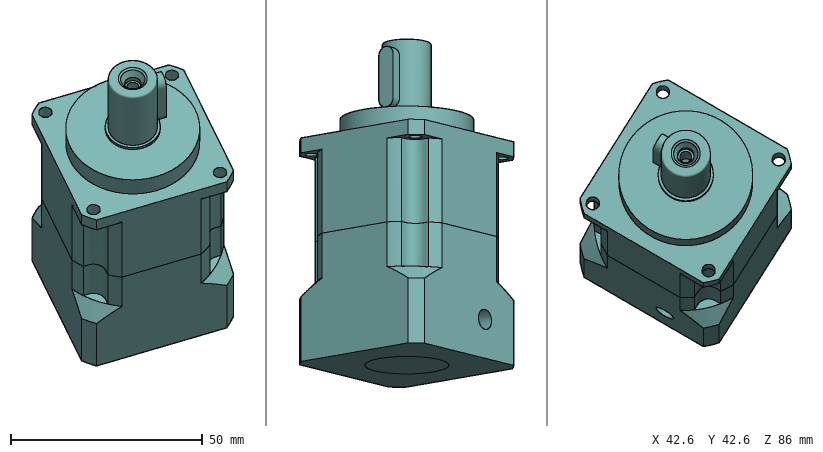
import cadquery as cq
import math

total_height = 86.0
body_width = 42.6
half_width = body_width / 2

corner_top = 17.4
relief_bottom = 21.4
split_level = 33.4
flange_bottom = 55.8
flange_top = 59.85
pilot_top = 65.6
collar_top = 66.4

corner_radius = 28.0
relief_radius = corner_radius - (relief_bottom - corner_top)
pilot_radius = 17.55

bolt_offset = 17.7
bolt_hole_radius = 1.7
groove_radius = 3.4

access_radius = 2.7
access_y = -6.45
access_z = 10.4
hub_radius = 11.0
hub_height = 2 * access_z

shaft_radius = 6.45
shaft_edge_radius = 0.5
collar_radius = 7.2

centre_mouth_radius = 3.8
centre_cone_radius = 3.2
centre_bore_radius = 2.15
centre_core_radius = 1.55
centre_mouth_depth = 0.35
centre_bore_depth = 3.4
centre_core_depth = 10.3
centre_cone_half_angle = 30
drill_tip_half_angle = 60

key_width = 5.0
key_length = 16.25
key_top = 83.9
key_outer_y = 8.5


def square_block(bottom, top):
    """Square prism with the full housing width."""
    return cq.Workplane("XY").workplane(offset=bottom).rect(body_width, body_width).extrude(top - bottom)


def cylinder(radius, bottom, top):
    """Round body on the shaft axis."""
    return cq.Workplane("XY").workplane(offset=bottom).circle(radius).extrude(top - bottom)


def turned_envelope():
    """Turned shape that rounds the housing corners and forms the relief between base and flange."""
    return (
        cq.Workplane("XZ")
        .moveTo(0, 0)
        .lineTo(corner_radius, 0)
        .lineTo(corner_radius, corner_top)
        .lineTo(relief_radius, relief_bottom)
        .lineTo(relief_radius, flange_bottom)
        .lineTo(corner_radius, flange_bottom)
        .lineTo(corner_radius, flange_top)
        .lineTo(0, flange_top)
        .close()
        .revolve(360, (0, 0), (0, 1))
    )


def bolt_groove():
    """Cutter for one corner groove, open to the outside and rounded around the bolt axis."""
    inner_edge = bolt_offset - groove_radius
    side = half_width - inner_edge
    return (
        cq.Workplane("XY")
        .box(side, side, flange_bottom - relief_bottom, centered=False)
        .edges("|Z and <X and <Y")
        .fillet(groove_radius)
        .translate((inner_edge, inner_edge, relief_bottom))
    )


def housing_section(bottom, top):
    """Part of the grooved housing column between two levels."""
    section = square_block(bottom, top).intersect(turned_envelope())
    for corner in range(4):
        section = section.cut(bolt_groove().rotate((0, 0, 0), (0, 0, 1), 90 * corner))
    return section


def make_lower_housing():
    bore = cylinder(hub_radius, 0, hub_height)
    access_hole = (
        cq.Workplane("YZ", origin=(-half_width, access_y, access_z))
        .circle(access_radius)
        .extrude(half_width)
    )
    access_hole = access_hole.cut(bore)
    return housing_section(0, split_level).cut(bore).cut(access_hole)


def make_upper_housing():
    pilot = cylinder(pilot_radius, flange_top, pilot_top)
    bolt_holes = (
        cq.Workplane("XY")
        .workplane(offset=flange_bottom)
        .rect(2 * bolt_offset, 2 * bolt_offset, forConstruction=True)
        .vertices()
        .circle(bolt_hole_radius)
        .extrude(flange_top - flange_bottom)
    )
    return housing_section(split_level, flange_top).union(pilot).cut(bolt_holes)


def make_hub():
    return cylinder(hub_radius, 0, hub_height)


def make_key():
    key_bottom = key_top - key_length
    return (
        cq.Workplane("XZ", origin=(0, key_outer_y, 0))
        .center(0, (key_top + key_bottom) / 2)
        .slot2D(key_length, key_width, 90)
        .extrude(key_width)
    )


def centre_hole():
    """Cutter for the centre hole: mouth chamfer, 60 degree cone, bore, core hole and drill tip."""
    cone_depth = (centre_cone_radius - centre_bore_radius) / math.tan(math.radians(centre_cone_half_angle))
    tip_depth = centre_core_radius / math.tan(math.radians(drill_tip_half_angle))
    cone_start = total_height - centre_mouth_depth
    core_bottom = total_height - centre_core_depth
    bore_bottom = total_height - centre_bore_depth
    return (
        cq.Workplane("XZ")
        .moveTo(0, total_height)
        .lineTo(centre_mouth_radius, total_height)
        .lineTo(centre_cone_radius, cone_start)
        .lineTo(centre_bore_radius, cone_start - cone_depth)
        .lineTo(centre_bore_radius, bore_bottom)
        .lineTo(centre_core_radius, bore_bottom)
        .lineTo(centre_core_radius, core_bottom)
        .lineTo(0, core_bottom - tip_depth)
        .close()
        .revolve(360, (0, 0), (0, 1))
    )


def make_shaft():
    collar = cylinder(collar_radius, pilot_top, collar_top)
    journal = (
        cylinder(shaft_radius, pilot_top, total_height)
        .faces(">Z")
        .edges()
        .fillet(shaft_edge_radius)
    )
    return journal.union(collar).cut(centre_hole()).cut(make_key())


lower_housing = make_lower_housing()
upper_housing = make_upper_housing()
hub = make_hub()
shaft = make_shaft()
key = make_key()

result = cq.Compound.makeCompound(
    [
        lower_housing.solids().val(),
        upper_housing.solids().val(),
        hub.val(),
        shaft.solids().val(),
        key.val(),
    ]
)